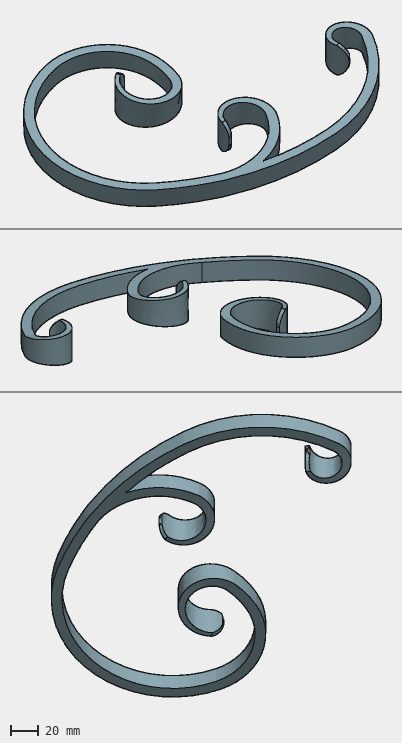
import cadquery as cq
import math

bar_width = 8.0
bar_height = 16.0

overall_length = 274.8

main_start = (48.6, overall_length - bar_width / 2)
main_heading = 0.0
main_arcs = [(110.0, 60.4), (207.7, 40.4), (85.7, 132.1), (50.8, 96.1), (67.0, 21.0)]

branch_start = (114.3, 177.8)
branch_heading = -2.0
branch_arcs = [(59.0, 92.0)]

tip_width = 2.7
top_curl = {"radius": 14.5, "sweep": 257.0, "tip_height": 30.8, "tip_round": 14.3}
branch_curl = {"radius": 19.2, "sweep": 217.0, "tip_height": 29.5, "tip_round": 11.0}
lower_curl = {"radius": 22.0, "sweep": 243.0, "tip_height": 30.2, "tip_round": 12.5}


def moved(point, angle, distance):
    """Point at a distance from another one, along a direction in degrees."""
    x = point[0] + distance * math.cos(math.radians(angle))
    y = point[1] + distance * math.sin(math.radians(angle))
    return (x, y)


def arc_points(start, heading, radius, turn):
    """Middle and end of an arc; a positive turn is counterclockwise."""
    side = math.copysign(90.0, turn)
    center = moved(start, heading + side, radius)
    middle = moved(center, heading - side + turn / 2, radius)
    end = moved(center, heading - side + turn, radius)
    return middle, end


def section(point, heading, width, height):
    """Upright rectangular section across the centreline."""
    plane = cq.Plane(
        origin=(point[0], point[1], 0),
        xDir=(-math.sin(math.radians(heading)), math.cos(math.radians(heading)), 0),
        normal=(math.cos(math.radians(heading)), math.sin(math.radians(heading)), 0),
    )
    return cq.Workplane(plane).rect(width, height)


def bar(start, heading, arcs):
    """Bar of constant section along clockwise arcs; also gives its end point and heading."""
    path = cq.Workplane("XY").moveTo(*start)
    point = start
    direction = heading
    for radius, sweep in arcs:
        middle, point = arc_points(point, direction, radius, -sweep)
        path = path.threePointArc(middle, point)
        direction -= sweep
    solid = section(start, heading, bar_width, bar_height).sweep(path)
    return solid, point, direction


def tip_corners(tip, heading, tip_height, tip_round):
    """Waste outside the rounded upper and lower corners of a tip that points along heading."""
    plane = cq.Plane(
        origin=(tip[0], tip[1], 0),
        xDir=(math.cos(math.radians(heading)), math.sin(math.radians(heading)), 0),
        normal=(math.sin(math.radians(heading)), -math.cos(math.radians(heading)), 0),
    )
    round_height = tip_height / 2 - tip_round
    round_centers = [(-tip_round, round_height), (-tip_round, -round_height)]
    full_end = cq.Workplane(plane).rect(2 * tip_round, 2 * tip_height).extrude(bar_width, both=True)
    flat_end = cq.Workplane(plane).rect(2 * tip_round, 2 * round_height).extrude(bar_width, both=True)
    rounds = cq.Workplane(plane).pushPoints(round_centers).circle(tip_round).extrude(bar_width, both=True)
    return full_end.cut(flat_end).cut(rounds)


def curl(start, heading, side, radius, sweep, tip_height, tip_round):
    """Tapering curl; side is 1 for a counterclockwise curl and -1 for a clockwise one."""
    turn = side * sweep
    middle, end = arc_points(start, heading, radius, turn)
    path = cq.Workplane("XY").moveTo(*start).threePointArc(middle, end)
    root = section(start, heading, bar_width, bar_height)
    tip = section(end, heading + turn, tip_width, tip_height)
    root.ctx.pendingWires.extend(tip.ctx.pendingWires)
    solid = root.sweep(path, multisection=True)
    tip_lean = turn - side * math.degrees(tip_round / radius) / 2
    return solid.cut(tip_corners(end, heading + tip_lean, tip_height, tip_round))


main_bar, main_end, main_end_heading = bar(main_start, main_heading, main_arcs)
branch_bar = bar(branch_start, branch_heading, branch_arcs)[0]

result = (
    main_bar
    .union(branch_bar)
    .union(curl(main_start, main_heading + 180, 1, **top_curl))
    .union(curl(branch_start, branch_heading + 180, 1, **branch_curl))
    .union(curl(main_end, main_end_heading, -1, **lower_curl))
)